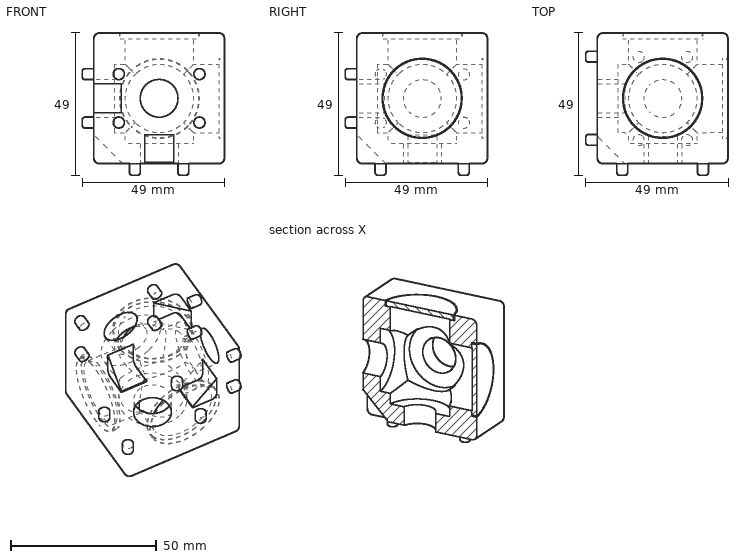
import cadquery as cq

OVERALL = 49.0
PIN_LENGTH = 4.0
CUBE = OVERALL - PIN_LENGTH
HALF = CUBE / 2
EDGE_FILLET = 2.0

PIN_DIAMETER = 3.8
PIN_TIP_FILLET = 1.1
PIN_NEAR = 8.35
PIN_FAR = 14.3
PIN_FAR_ON_Y_FACE = 13.85

NOTCH_WIDTH = 10.0
NOTCH_LEG = 9.5
NOTCH_STEP = 0.5

BORE_DIAMETER = 13.0
BORE_DEPTH = 7.0
CAVITY_DIAMETER = 23.5
RECESS_DIAMETER = 27.5
RECESS_DEPTH = 2.0

LID_DIAMETER = 27.0

X_AXIS = ((1, 0, 0), (0, 1, 0))
Y_AXIS = ((0, 1, 0), (1, 0, 0))
Z_AXIS = ((0, 0, 1), (1, 0, 0))
AXES = (X_AXIS, Y_AXIS, Z_AXIS)


def cylinder(axis, diameter, start, end):
    """Cylinder centred on an axis, between two positions along it."""
    direction, across = axis
    plane = cq.Plane(origin=(0, 0, 0), xDir=across, normal=direction)
    return cq.Workplane(plane).workplane(offset=start).circle(diameter / 2).extrude(end - start)


def make_pin(position, direction):
    """Round-tipped pin standing on a face of the cube."""
    plane = cq.Plane(origin=position, normal=direction)
    pin = cq.Workplane(plane).circle(PIN_DIAMETER / 2).extrude(PIN_LENGTH)
    tip_edge = pin.faces(cq.selectors.DirectionMinMaxSelector(cq.Vector(direction))).edges()
    return tip_edge.fillet(PIN_TIP_FILLET)


def make_pins():
    """Four pins on each of the -X, -Y and -Z faces."""
    pins = []
    for far_side in (-1, 1):
        for near_side in (-1, 1):
            near = near_side * PIN_NEAR
            pins.append(make_pin((-HALF, far_side * PIN_FAR, near), (-1, 0, 0)))
            pins.append(make_pin((far_side * PIN_FAR_ON_Y_FACE, -HALF, near), (0, -1, 0)))
            pins.append(make_pin((near, far_side * PIN_FAR, -HALF), (0, 0, -1)))
    return pins


def make_notch(plane, step):
    """Notch over the lower-left corner of a plane: a 45-degree floor above an optional upright step."""
    inner = -HALF + NOTCH_LEG
    floor_bottom = -HALF + step
    outline = [(-HALF, -HALF), (inner, floor_bottom), (-HALF, floor_bottom + NOTCH_LEG)]
    if step > 0:
        outline.insert(1, (inner, -HALF))
    return cq.Workplane(plane).polyline(outline).close().extrude(NOTCH_WIDTH / 2, both=True)


def make_housing():
    """Rounded cube with notches, bores and pins."""
    housing = cq.Workplane("XY").box(CUBE, CUBE, CUBE).edges().fillet(EDGE_FILLET)
    for plane, step in (("XY", 0), ("XZ", NOTCH_STEP), ("YZ", NOTCH_STEP)):
        housing = housing.cut(make_notch(plane, step))
    for axis in AXES:
        housing = housing.cut(cylinder(axis, BORE_DIAMETER, -HALF, BORE_DEPTH - HALF))
        housing = housing.cut(cylinder(axis, CAVITY_DIAMETER, BORE_DEPTH - HALF, HALF))
        housing = housing.cut(cylinder(axis, RECESS_DIAMETER, HALF - RECESS_DEPTH, HALF))
    for pin in make_pins():
        housing = housing.union(pin)
    return housing


def make_lid(axis):
    """Flat disc lying in the recess, flush with the face of the cube."""
    return cylinder(axis, LID_DIAMETER, HALF - RECESS_DEPTH, HALF)


housing = make_housing()
lids = [make_lid(axis) for axis in AXES]

result = cq.Compound.makeCompound([housing.val(), *[lid.val() for lid in lids]])